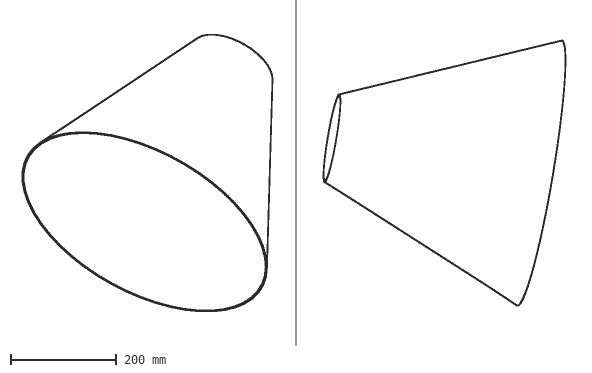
import cadquery as cq

large_diameter = 508.0
small_diameter = 168.0
length = 400.0
radial_wall = 3.0

large_radius = large_diameter / 2
small_radius = small_diameter / 2

wall_section = (
    cq.Workplane("XY")
    .moveTo(large_radius - radial_wall, 0)
    .lineTo(large_radius, 0)
    .lineTo(small_radius, length)
    .lineTo(small_radius - radial_wall, length)
    .close()
)

result = wall_section.revolve(360, (0, 0, 0), (0, 1, 0))